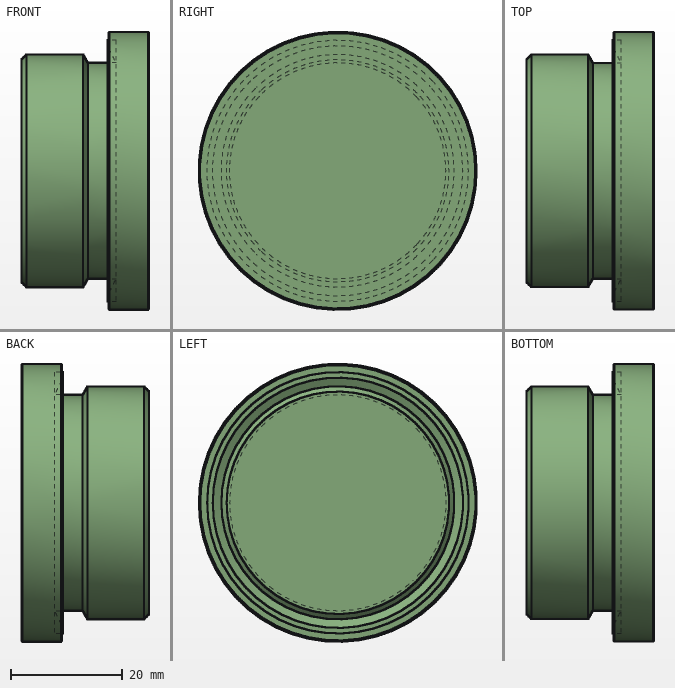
import cadquery as cq
import math

shank_diameter = 41.9
shank_tip_diameter = 40.0
neck_diameter = 38.9
shank_shoulder_x = 11.1
shoulder_angle = 60.0

total_length = 23.0
flange_diameter = 50.0
flange_face_x = 15.65
flange_chamfer = 0.25

seal_diameter = 47.0
seal_mouth_diameter = 45.0
seal_face_x = 15.5
seal_seat_x = 17.0

shank_radius = shank_diameter / 2
shank_tip_radius = shank_tip_diameter / 2
neck_radius = neck_diameter / 2
flange_radius = flange_diameter / 2
seal_radius = seal_diameter / 2
seal_mouth_radius = seal_mouth_diameter / 2
tip_chamfer = shank_radius - shank_tip_radius
neck_start_x = shank_shoulder_x + (shank_radius - neck_radius) / math.tan(math.radians(shoulder_angle))


def revolve_about_x(points):
    """Turn a closed (axial, radial) outline about the X axis."""
    return cq.Workplane("XY").polyline(points).close().revolve(360, (0, 0, 0), (1, 0, 0))


def make_plug():
    """Chamfered shank, reduced neck and flange with an annular seal recess."""
    return revolve_about_x([
        (0, 0),
        (0, shank_tip_radius),
        (tip_chamfer, shank_radius),
        (shank_shoulder_x, shank_radius),
        (neck_start_x, neck_radius),
        (seal_seat_x, neck_radius),
        (seal_seat_x, seal_radius),
        (flange_face_x, seal_radius),
        (flange_face_x, flange_radius - flange_chamfer),
        (flange_face_x + flange_chamfer, flange_radius),
        (total_length - flange_chamfer, flange_radius),
        (total_length, flange_radius - flange_chamfer),
        (total_length, 0),
    ])


def make_seal():
    """Ring with a conical bore that narrows to the neck at the recess floor."""
    return revolve_about_x([
        (seal_face_x, seal_mouth_radius),
        (seal_face_x, seal_radius),
        (seal_seat_x, seal_radius),
        (seal_seat_x, neck_radius),
    ])


plug = make_plug()
seal = make_seal()

result = cq.Compound.makeCompound([plug.val(), seal.val()])